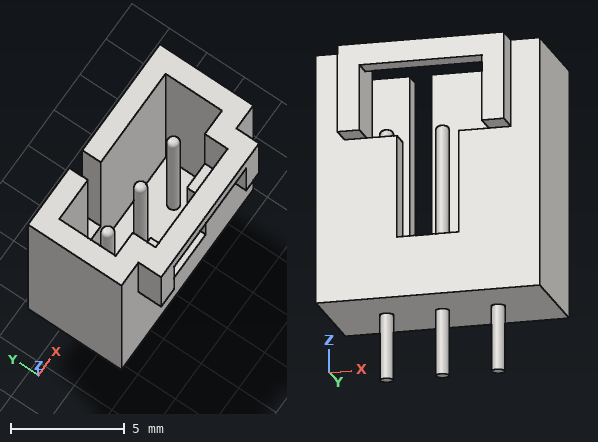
import cadquery as cq

body_width = 10.18
body_depth = 5.0
total_height = 14.4
pin_tail = 3.0
body_height = total_height - pin_tail
wall = 1.0
floor_thickness = 0.1

total_depth = 6.2
lip_width = 7.56
lip_height = 3.99
lip_projection = total_depth - body_depth
lip_opening_width = 5.56

front_slot_width = 2.81
back_slot_width = 1.0
back_slot_offset = -1.4
sill_height = 2.75

pin_count = 3
pin_pitch = 2.53
pin_diameter = 0.6
pin_rounding = 0.2
pin_top = 8.5

front_y = -body_depth / 2
back_y = body_depth / 2
lip_front_y = front_y - lip_projection
cavity_front_y = front_y + wall
ledge_z = body_height - lip_height
slot_height = body_height - sill_height


def block(width, y_min, y_max, z_min, height, x_center=0):
    """Box centred on x_center, spanning the given depth, rising from z_min."""
    return (
        cq.Workplane("XY", origin=(x_center, (y_min + y_max) / 2, z_min))
        .box(width, y_max - y_min, height, centered=(True, True, False))
    )


def make_housing():
    housing = block(body_width, front_y, back_y, 0, body_height)
    lip = block(lip_width, lip_front_y, front_y, ledge_z, lip_height)
    cavity = block(
        body_width - 2 * wall,
        cavity_front_y,
        back_y - wall,
        floor_thickness,
        body_height - floor_thickness,
    )
    lip_recess = block(
        lip_opening_width, lip_front_y + wall, cavity_front_y, ledge_z, lip_height
    )
    lip_window = block(
        lip_opening_width, lip_front_y, cavity_front_y, ledge_z, lip_height - wall
    )
    front_slot = block(
        front_slot_width, front_y, cavity_front_y, sill_height, slot_height - lip_height
    )
    back_slot = block(
        back_slot_width, back_y - wall, back_y, sill_height, slot_height, back_slot_offset
    )
    housing = housing.union(lip)
    for opening in (cavity, lip_recess, lip_window, front_slot, back_slot):
        housing = housing.cut(opening)
    return housing


def make_pin(x):
    return (
        cq.Workplane("XY", origin=(x, 0, -pin_tail))
        .circle(pin_diameter / 2)
        .extrude(pin_tail + pin_top)
        .faces(">Z")
        .edges()
        .fillet(pin_rounding)
    )


result = make_housing()
for index in range(pin_count):
    result = result.union(make_pin((index - (pin_count - 1) / 2) * pin_pitch))